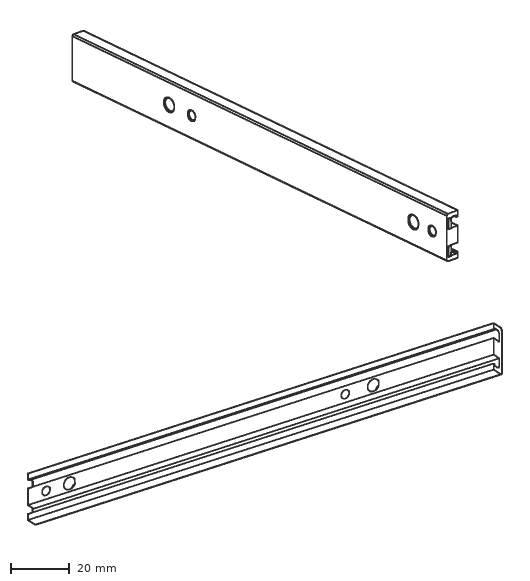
import cadquery as cq

overall_length = 195.0
depth = 5.0
height = 18.0

tab_projection = 0.4
tab_height = 3.9
tab_inset = 0.5
rail_length = overall_length - tab_projection

web_thickness = 1.8
wall_thickness = 1.8
lip_depth = 0.8
lip_overhang = 0.5
block_height = 6.5
outer_chamfer = 0.5
channel_radius = 1.2
channel_top = height / 2 - wall_thickness
channel_bottom = block_height / 2
channel_middle = (channel_top + channel_bottom) / 2

large_hole_diameter = 4.7
large_hole_positions = (50.3, 177.2)
small_hole_diameter = 3.3
small_hole_positions = (62.0, 187.0)
hole_chamfer = 0.4


def make_box(x_start, length, y_start, y_size, z_middle, z_size):
    """Box starting at x_start and y_start, centred on z_middle."""
    box = cq.Workplane("XY").box(length, y_size, z_size, centered=(False, False, True))
    return box.translate((x_start, y_start, z_middle))


def make_channel(side):
    """Channel with a narrowed mouth, above (+1) or below (-1) the centre block."""
    cavity = make_box(
        0, rail_length,
        web_thickness, depth - lip_depth - web_thickness,
        side * channel_middle, channel_top - channel_bottom,
    )
    outer_corner = "<Y and >Z" if side > 0 else "<Y and <Z"
    cavity = cavity.edges("|X").edges(outer_corner).fillet(channel_radius)
    mouth_top = channel_top - lip_overhang
    mouth = make_box(
        0, rail_length,
        depth - lip_depth, lip_depth,
        side * (mouth_top + channel_bottom) / 2, mouth_top - channel_bottom,
    )
    return cavity.union(mouth)


def make_tab(side):
    """Small tab on the +X end of the web, in line with one channel."""
    return make_box(
        rail_length, tab_projection,
        tab_inset, web_thickness - tab_inset,
        side * channel_middle, tab_height,
    )


def make_hole(x, diameter):
    """Through hole along Y, chamfered at the flat face."""
    radius = diameter / 2
    mouth_radius = radius + hole_chamfer
    half_section = [
        (0, 0),
        (mouth_radius, 0),
        (radius, hole_chamfer),
        (radius, depth),
        (0, depth),
    ]
    hole = cq.Workplane("XY").polyline(half_section).close().revolve(360, (0, 0, 0), (0, 1, 0))
    return hole.translate((x, 0, 0))


rail = make_box(0, rail_length, 0, depth, 0, height)
rail = rail.edges("|X and <Y").chamfer(outer_chamfer)

for side in (1, -1):
    rail = rail.cut(make_channel(side))
    rail = rail.union(make_tab(side))

for x in large_hole_positions:
    rail = rail.cut(make_hole(x, large_hole_diameter))
for x in small_hole_positions:
    rail = rail.cut(make_hole(x, small_hole_diameter))

result = rail